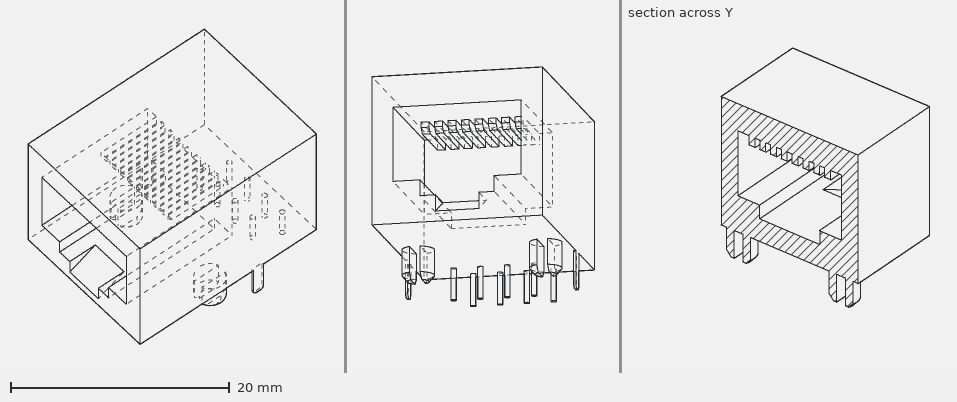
import cadquery as cq

BODY_WIDTH = 16.0
BODY_DEPTH = 21.0
TOTAL_HEIGHT = 17.5
LEG_LENGTH = 3.5
BODY_HEIGHT = TOTAL_HEIGHT - LEG_LENGTH

CAVITY_DEPTH = 12.6
CAVITY_WIDTH = 12.05
CAVITY_TOP = BODY_HEIGHT - 3.0
CAVITY_FLOOR = 4.0
LATCH_WIDTH = 6.97
LATCH_FLOOR = 2.5
NOTCH_WIDTH = 4.07
NOTCH_FLOOR = 0.97
NOTCH_DEPTH = 3.05

POSITION_COUNT = 8
PITCH = 1.25
CONTACT_WIDTH = 0.74
CONTACT_HEIGHT = 1.0
CONTACT_FRONT_HEIGHT = 0.5
CONTACT_FRONT = 6.0
CONTACT_BEVEL_RUN = CONTACT_HEIGHT - CONTACT_FRONT_HEIGHT

PIN_DIAMETER = 0.5
PIN_LENGTH = 3.0
PIN_ROWS = (17.45, 19.93)

PEG_DIAMETER = 3.0
PEG_LENGTH = PIN_LENGTH
PEG_SLOT_WIDTH = 1.0
PEG_OFFSET = 5.98
PEG_Y = 10.02
PEG_TIP_HEIGHT = 0.59
PEG_TIP_INSET = 0.5

LEG_THICKNESS = 0.2
LEG_WIDTH = 1.22
LEG_Y = 14.1
LEG_CORNER_RADIUS = 0.45


def box(width, y_front, y_back, z_low, z_high, x_center=0):
    """Box centred on x_center between the given Y and Z limits."""
    size = (width, y_back - y_front, z_high - z_low)
    block = cq.Workplane("XY").box(*size, centered=(True, False, False))
    return block.translate((x_center, y_front, z_low))


def side_profile(points, width, x_center):
    """Extrude a closed (Y, Z) outline along X, centred on x_center."""
    outline = cq.Workplane("YZ").polyline(points).close()
    return outline.extrude(width / 2, both=True).translate((x_center, 0, 0))


def make_housing():
    housing = box(BODY_WIDTH, 0, BODY_DEPTH, 0, BODY_HEIGHT)
    cavity = box(CAVITY_WIDTH, 0, CAVITY_DEPTH, CAVITY_FLOOR, CAVITY_TOP)
    latch_step = box(LATCH_WIDTH, 0, CAVITY_DEPTH, LATCH_FLOOR, CAVITY_TOP)
    ramp_outline = [(0, NOTCH_FLOOR), (NOTCH_DEPTH, LATCH_FLOOR), (0, LATCH_FLOOR)]
    notch = side_profile(ramp_outline, NOTCH_WIDTH, 0)
    return housing.cut(cavity).cut(latch_step).cut(notch)


def make_contact(x):
    contact_bottom = CAVITY_TOP - CONTACT_HEIGHT
    outline = [
        (CONTACT_FRONT, CAVITY_TOP),
        (CONTACT_FRONT, CAVITY_TOP - CONTACT_FRONT_HEIGHT),
        (CONTACT_FRONT + CONTACT_BEVEL_RUN, contact_bottom),
        (CAVITY_DEPTH, contact_bottom),
        (CAVITY_DEPTH, CAVITY_TOP),
    ]
    return side_profile(outline, CONTACT_WIDTH, x)


def make_pin(x, y):
    return cq.Workplane("XY").center(x, y).circle(PIN_DIAMETER / 2).extrude(-PIN_LENGTH)


def make_peg(x):
    peg = cq.Workplane("XY").circle(PEG_DIAMETER / 2).extrude(-PEG_LENGTH)
    peg = peg.faces("<Z").chamfer(PEG_TIP_HEIGHT, PEG_TIP_INSET)
    slot = box(PEG_SLOT_WIDTH, -PEG_DIAMETER, PEG_DIAMETER, -PEG_LENGTH, 0)
    return peg.cut(slot).translate((x, PEG_Y, 0))


def make_leg(x):
    leg = box(LEG_THICKNESS, LEG_Y - LEG_WIDTH / 2, LEG_Y + LEG_WIDTH / 2, -LEG_LENGTH, 0, x)
    return leg.faces("<Z").edges("|X").fillet(LEG_CORNER_RADIUS)


result = make_housing()

for index in range(POSITION_COUNT):
    position_x = (index - (POSITION_COUNT - 1) / 2) * PITCH
    row_y = PIN_ROWS[index % len(PIN_ROWS)]
    result = result.union(make_contact(position_x))
    result = result.union(make_pin(position_x, row_y))

for side in (-1, 1):
    result = result.union(make_peg(side * PEG_OFFSET))
    result = result.union(make_leg(side * (BODY_WIDTH - LEG_THICKNESS) / 2))